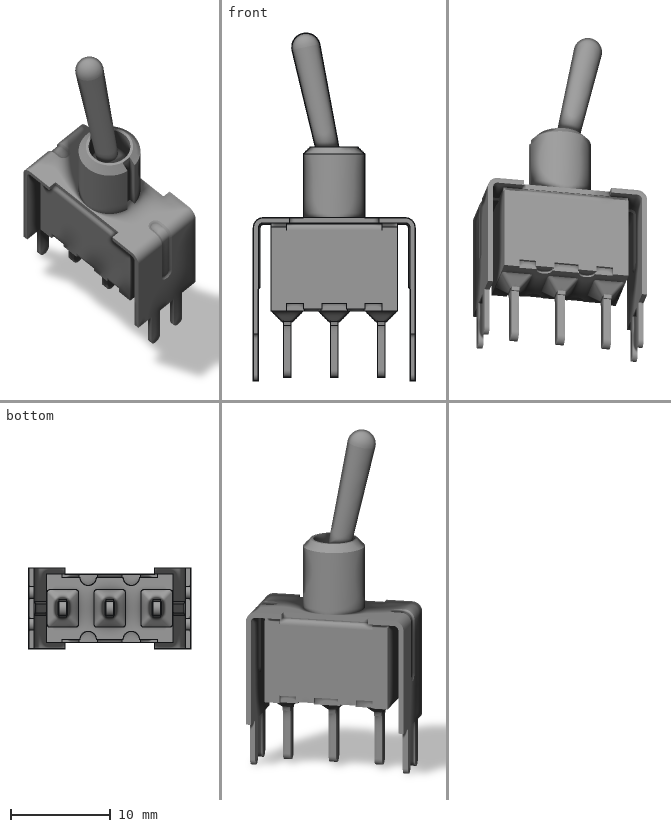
import cadquery as cq
import math


overall_height = 34.92

bracket_length = 16.27
bracket_depth = 8.15
bracket_top = 16.38
sheet = 0.52
bend_radius = 1.0
wall_bottom = 4.7
relief_length = 8.95
relief_depth = 0.87
leg_width = 1.2
leg_pitch = 3.18

rib_width = 1.4
rib_floor_width = 0.9
rib_depth = 0.17
rib_lower_center = 9.88
rib_upper_center = 6.53

body_length = 12.7
body_depth = 6.88
body_bottom = 7.0
body_top = bracket_top - sheet
frame_thickness = 0.3
frame_tab_length = 9.57
frame_top_step = 0.42
frame_bend_radius = 0.75
foot_length = 1.85
foot_center = 2.15
foot_lift = 0.2
foot_recess_diameter = 1.65
notch_top = 7.75

terminal_pitch = 4.7
terminal_thickness = 0.77
terminal_width = 1.4
terminal_bottom = 0.35
terminal_shoulder_width = 1.75
terminal_shoulder_bottom = 5.55
seal_length = 3.15
seal_width = 3.77
seal_height = 1.08
seal_slope = 45
seal_edge_radius = 0.42

bushing_radius = 3.1
bushing_top = 23.5
bushing_chamfer = 0.75
bore_radius = 2.1
keyway_width = 1.0
keyway_floor = 2.37

pivot_height = 20.1
lever_tilt = 12
ball_radius = 2.05
lever_root_radius = 1.1
lever_tip_radius = 1.43

half_length = bracket_length / 2
half_body_depth = body_depth / 2


def block(length, depth, bottom, top, x=0.0, y=0.0):
    """Upright box centred at (x, y) between two heights."""
    box = cq.Workplane("XY").box(length, depth, top - bottom, centered=(True, True, False))
    return box.translate((x, y, bottom))


def round_ended_blade(thickness, width, bottom, top, x, y=0.0):
    """Blade, thin along X, with a full round at its lower end."""
    radius = width / 2
    outline = (
        cq.Workplane("YZ")
        .moveTo(y - radius, top)
        .lineTo(y - radius, bottom + radius)
        .threePointArc((y, bottom), (y + radius, bottom + radius))
        .lineTo(y + radius, top)
        .close()
    )
    return outline.extrude(thickness / 2, both=True).translate((x, 0, 0))


def rib_shape(inset):
    """Tapered rib on the left bend, its wide face lying `inset` below the outer sheet face."""
    wall_x = -half_length + inset
    top_z = bracket_top - inset
    radius = bend_radius - inset
    bend_x = -half_length + bend_radius
    bend_z = bracket_top - bend_radius
    wide = rib_width / 2
    narrow = rib_floor_width / 2

    def section(workplane):
        points = [(0, -wide), (rib_depth, -narrow), (rib_depth, narrow), (0, wide)]
        return workplane.polyline(points).close()

    wall_plane = cq.Plane(origin=(wall_x, 0, rib_lower_center), xDir=(1, 0, 0), normal=(0, 0, 1))
    bend_plane = cq.Plane(origin=(wall_x, 0, bend_z), xDir=(1, 0, 0), normal=(0, 0, 1))
    top_plane = cq.Plane(origin=(-rib_upper_center, 0, top_z), xDir=(0, 0, -1), normal=(-1, 0, 0))

    wall_part = section(cq.Workplane(wall_plane)).extrude(bend_z - rib_lower_center)
    bend_part = section(cq.Workplane(bend_plane)).revolve(90, (radius, 0), (radius, 1))
    top_part = section(cq.Workplane(top_plane)).extrude(-rib_upper_center - bend_x)
    rib = wall_part.union(bend_part).union(top_part)

    for plane in (wall_plane, top_plane):
        rounded_end = cq.Solid.makeCone(wide, narrow, rib_depth, plane.origin, plane.xDir)
        rib = rib.union(cq.Workplane(rounded_end))
    return rib


def make_bracket():
    outer = block(bracket_length, bracket_depth, wall_bottom, bracket_top)
    outer = outer.edges("|Y and >Z").fillet(bend_radius)
    inner = block(bracket_length - 2 * sheet, bracket_depth, wall_bottom, body_top)
    inner = inner.edges("|Y and >Z").fillet(bend_radius - sheet)
    bracket = outer.cut(inner)

    for side in (-1, 1):
        edge_y = side * bracket_depth / 2
        bracket = bracket.cut(block(relief_length, 2 * relief_depth, wall_bottom, bracket_top, y=edge_y))

    outer_rib = rib_shape(0)
    inner_rib = rib_shape(sheet)
    bracket = bracket.union(inner_rib).union(inner_rib.mirror("YZ"))
    bracket = bracket.cut(outer_rib).cut(outer_rib.mirror("YZ"))

    leg_top = wall_bottom + sheet
    for side in (-1, 1):
        wall_center = side * (half_length - sheet / 2)
        for y in (-leg_pitch / 2, leg_pitch / 2):
            bracket = bracket.union(round_ended_blade(sheet, leg_width, 0, leg_top, wall_center, y))
    return bracket


def make_frame_plate():
    """Front frame plate, with a tab bent over the top and feet along the bottom edge."""
    plate_y = -half_body_depth + frame_thickness / 2
    tab_depth = 2 * frame_bend_radius
    tab = block(frame_tab_length, tab_depth, notch_top, body_top, y=-half_body_depth + tab_depth / 2)
    plate = tab.edges("|X and <Y and >Z").fillet(frame_bend_radius)

    step_z = body_top - frame_top_step
    end_length = (body_length - frame_tab_length) / 2
    end_center = (body_length - end_length) / 2
    foot_bottom = body_bottom + foot_lift
    for side in (-1, 1):
        end = block(end_length, frame_thickness, body_bottom, step_z, side * end_center, plate_y)
        foot = block(foot_length, frame_thickness, foot_bottom, notch_top, side * foot_center, plate_y)
        plate = plate.union(end).union(foot)
    return plate


def make_body():
    core_depth = body_depth - 2 * frame_thickness
    foot_bottom = body_bottom + foot_lift
    body = block(body_length, core_depth, body_bottom, body_top)

    for side_x in (-1, 1):
        for side_y in (-1, 1):
            center = (side_x * foot_center, side_y * core_depth / 2, body_bottom)
            recess = cq.Workplane("XY", origin=center).circle(foot_recess_diameter / 2)
            body = body.cut(recess.extrude(foot_bottom - body_bottom))

    front_plate = make_frame_plate()
    return body.union(front_plate).union(front_plate.mirror("XZ"))


def make_terminal(x):
    blade = round_ended_blade(terminal_thickness, terminal_width, terminal_bottom, body_bottom, x)
    shoulder = block(terminal_thickness, terminal_shoulder_width, terminal_shoulder_bottom, body_bottom, x)
    seal = cq.Workplane("XY", origin=(x, 0, body_bottom)).rect(seal_length, seal_width)
    seal = seal.extrude(-seal_height, taper=seal_slope)
    seal = seal.edges("not (|X or |Y)").fillet(seal_edge_radius)
    return blade.union(shoulder).union(seal)


def make_bushing():
    bushing = cq.Workplane("XY").workplane(offset=body_top).circle(bushing_radius)
    bushing = bushing.extrude(bushing_top - body_top).faces(">Z").chamfer(bushing_chamfer)
    keyway_depth = bushing_radius - keyway_floor
    keyway_center = keyway_floor + keyway_depth / 2
    keyway = block(keyway_depth, keyway_width, bracket_top, bushing_top, keyway_center)
    bore = cq.Workplane("XY").workplane(offset=pivot_height).circle(bore_radius)
    return bushing.cut(keyway).cut(bore.extrude(bushing_top - pivot_height))


def make_lever():
    """Ball, tapered shaft and round tip, leaning toward -X."""
    tip_center = (overall_height - lever_tip_radius - pivot_height) / math.cos(math.radians(lever_tilt))
    root = math.sqrt(ball_radius**2 - lever_root_radius**2)
    half_profile = (
        cq.Workplane("XZ")
        .lineTo(lever_root_radius, 0)
        .lineTo(lever_root_radius, root)
        .lineTo(lever_tip_radius, tip_center)
        .radiusArc((0, tip_center + lever_tip_radius), -lever_tip_radius)
        .close()
    )
    shaft = half_profile.revolve(360, (0, 0), (0, 1))
    lever = shaft.union(cq.Workplane("XY").sphere(ball_radius))
    return lever.rotate((0, 0, 0), (0, 1, 0), -lever_tilt).translate((0, 0, pivot_height))


result = make_body().union(make_bracket())
for position in (-1, 0, 1):
    result = result.union(make_terminal(position * terminal_pitch))
result = result.union(make_bushing()).union(make_lever())